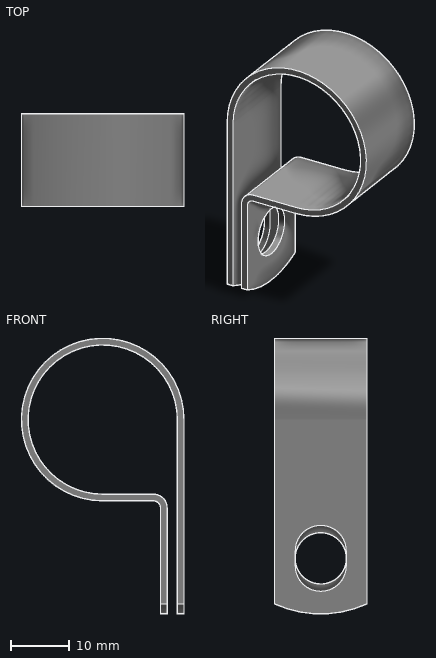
import cadquery as cq
import math

total_height = 47.15
loop_diameter = 27.85
band_width = 15.9
thickness = 1.2
leg_gap = 1.7
bend_inner_radius = 1.2
hole_diameter = 8.75
hole_height = 9.55
slot_length = 11.27
tip_drop = 1.75

outer_radius = loop_diameter / 2
inner_radius = outer_radius - thickness
bend_outer_radius = bend_inner_radius + thickness
bottom_z = outer_radius - total_height
short_leg_right = inner_radius - leg_gap
short_leg_left = short_leg_right - thickness
bend_x = short_leg_right - bend_outer_radius
bend_z = -inner_radius - bend_outer_radius
half_width = band_width / 2
diagonal = math.sqrt(0.5)


def make_band():
    """Bent strip: long leg, three-quarter loop, flat shelf, bend and short leg."""
    profile = (
        cq.Workplane("XZ")
        .moveTo(outer_radius, bottom_z)
        .lineTo(outer_radius, 0)
        .threePointArc((-outer_radius * diagonal, outer_radius * diagonal), (0, -outer_radius))
        .lineTo(bend_x, -outer_radius)
        .threePointArc(
            (bend_x + bend_inner_radius * diagonal, bend_z + bend_inner_radius * diagonal),
            (short_leg_left, bend_z),
        )
        .lineTo(short_leg_left, bottom_z)
        .lineTo(short_leg_right, bottom_z)
        .lineTo(short_leg_right, bend_z)
        .threePointArc(
            (bend_x + bend_outer_radius * diagonal, bend_z + bend_outer_radius * diagonal),
            (bend_x, -inner_radius),
        )
        .lineTo(0, -inner_radius)
        .threePointArc((-inner_radius * diagonal, inner_radius * diagonal), (inner_radius, 0))
        .lineTo(inner_radius, bottom_z)
        .close()
    )
    return profile.extrude(half_width, both=True)


def make_end_envelope():
    """Block around the band whose underside is the curved outline of the leg ends."""
    corner_z = bottom_z + tip_drop
    return (
        cq.Workplane("YZ")
        .moveTo(-half_width, outer_radius)
        .lineTo(-half_width, corner_z)
        .threePointArc((0, bottom_z), (half_width, corner_z))
        .lineTo(half_width, outer_radius)
        .close()
        .extrude(outer_radius, both=True)
    )


def make_bolt_opening():
    """Round hole through the short leg joined to an upright slot through the long leg."""
    gap_middle = short_leg_right + leg_gap / 2
    leg_plane = cq.Workplane("YZ", origin=(gap_middle, 0, bottom_z + hole_height))
    hole = leg_plane.circle(hole_diameter / 2).extrude(-gap_middle)
    slot = leg_plane.slot2D(slot_length, hole_diameter, 90).extrude(outer_radius)
    return hole.union(slot)


result = make_band().intersect(make_end_envelope()).cut(make_bolt_opening())